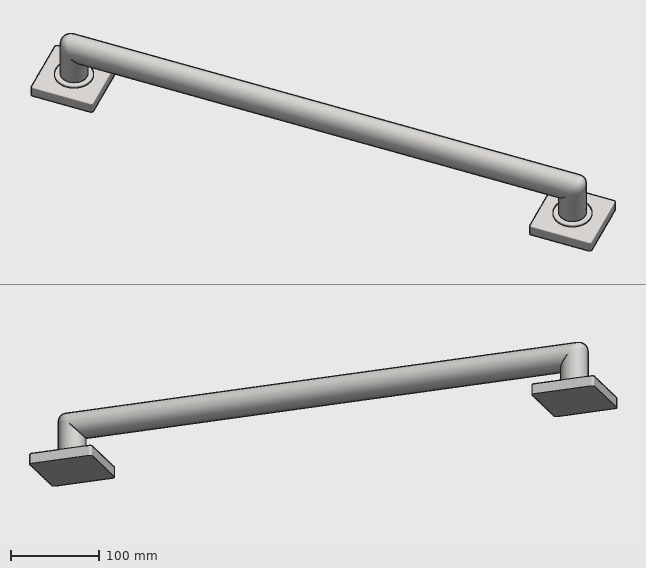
import cadquery as cq
import math

overall_length = 685.8
overall_height = 69.98
plate_side = 76.2
plate_thickness = 12.7
plate_corner_radius = 3.175
plate_top_rounding = 1.25
collar_diameter = 44.45
collar_height = 2.4
collar_rim_rounding = 1.2
tube_diameter = 31.75
elbow_round_radius = 9.525

tube_radius = tube_diameter / 2
post_x = (overall_length - plate_side) / 2
bar_axis_z = overall_height - tube_radius
round_center = tube_radius - elbow_round_radius
round_section_count = 5


def mounting_plate():
    """Square plate with rounded corners and a rounded top rim, standing on Z = 0."""
    plate = cq.Workplane("XY").box(plate_side, plate_side, plate_thickness, centered=(True, True, False))
    plate = plate.edges("|Z").fillet(plate_corner_radius)
    return plate.faces(">Z").edges().fillet(plate_top_rounding)


def collar():
    """Thin round flange with a rounded rim, between the plate and the post."""
    disc = (
        cq.Workplane("XY", origin=(0, 0, plate_thickness))
        .circle(collar_diameter / 2)
        .extrude(collar_height)
    )
    return disc.faces(">Z").edges().fillet(collar_rim_rounding)


def prism(points):
    """Prism along Y, wide enough to hold the tube, over an XZ outline."""
    return cq.Workplane("XZ").polyline(points).close().extrude(tube_diameter, both=True)


def post():
    """Vertical post on the Z axis, its top cut along the inner mitre and the edge of the elbow rounding."""
    outline = prism([
        (-tube_radius, 0),
        (tube_radius, 0),
        (tube_radius, bar_axis_z - tube_radius),
        (0, bar_axis_z),
        (-tube_radius, bar_axis_z + round_center),
    ])
    tube = cq.Workplane("XY").circle(tube_radius).extrude(overall_height)
    return tube.intersect(outline)


def bar():
    """Horizontal bar between the elbows, each end cut along the inner mitre and the edge of the rounding."""
    left_end = [
        (-post_x - round_center, overall_height),
        (-post_x, bar_axis_z),
        (-post_x + tube_radius, bar_axis_z - tube_radius),
    ]
    right_end = [(-x, z) for x, z in reversed(left_end)]
    tube = (
        cq.Workplane("YZ", origin=(0, 0, bar_axis_z))
        .circle(tube_radius)
        .extrude(post_x + tube_radius, both=True)
    )
    return tube.intersect(prism(left_end + right_end))


def half_ellipse(angle):
    """Half-ellipse around the elbow centre, reaching the point at `angle` on the rounding's arc."""
    reach = cq.Vector(
        -round_center - elbow_round_radius * math.cos(angle),
        0,
        round_center + elbow_round_radius * math.sin(angle),
    )
    normal = cq.Vector(0, 1, 0).cross(reach)
    center = cq.Vector(0, 0, bar_axis_z)
    return cq.Edge.makeEllipse(reach.Length, tube_radius, center, normal, reach, -90, 90)


def end_face(arc):
    """Flat face between a half-ellipse and its chord."""
    chord = cq.Edge.makeLine(arc.endPoint(), arc.startPoint())
    return cq.Face.makeFromWires(cq.Wire.assembleEdges([arc, chord]))


def elbow_round():
    """Rounded wedge that runs tangent from the post to the bar and fades out at both sides."""
    step = math.pi / 2 / (round_section_count - 1)
    arcs = [half_ellipse(index * step) for index in range(round_section_count)]
    sections = [cq.Wire.assembleEdges([arc]) for arc in arcs]
    outer_face = cq.occ_impl.shapes.loft(sections)
    return cq.Workplane(cq.occ_impl.shapes.solid(outer_face, end_face(arcs[0]), end_face(arcs[-1])))


def left_support():
    """Plate, collar, post and elbow rounding at the -X end."""
    support = mounting_plate().union(collar()).union(post()).union(elbow_round())
    return support.translate((-post_x, 0, 0))


support = left_support()
handle = support.union(bar()).union(support.mirror("YZ"))
result = cq.Workplane(handle.solids().val())